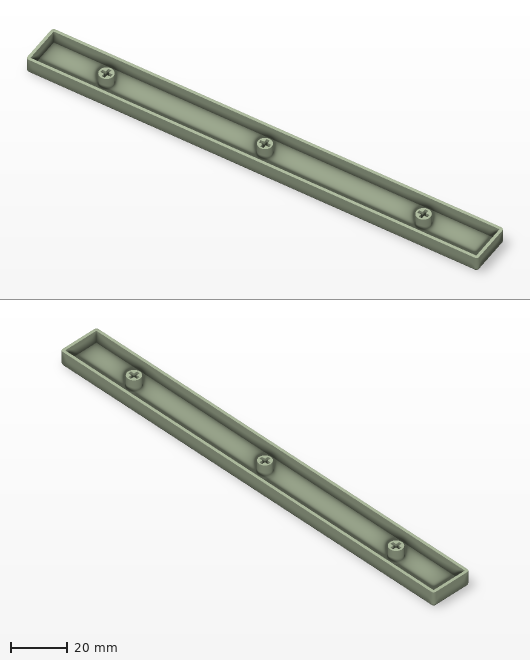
import cadquery as cq

length = 189.5
width = 18.0
height = 6.6
wall = 1.23
floor_thickness = 1.1
corner_radius = 1.2
bottom_edge_radius = 1.05

center_stem_diameter = 5.7
outer_stem_diameter = 5.9
stem_foot_diameter = 7.4
stem_pitch = 66.5
stem_height = height - floor_thickness

cross_span = 4.4
cross_slot_width = 1.3


def make_tray():
    """Open-topped tray with rounded outer corners and a rounded bottom edge."""
    body = cq.Workplane("XY").box(length, width, height, centered=(True, True, False))
    body = body.edges("|Z").fillet(corner_radius)
    body = body.faces("<Z").edges().fillet(bottom_edge_radius)
    cavity = (
        cq.Workplane("XY", origin=(0, 0, floor_thickness))
        .rect(length - 2 * wall, width - 2 * wall)
        .extrude(stem_height)
    )
    return body.cut(cavity)


def add_stem(body, x, diameter):
    """Add a stem at x, flared at its foot, and cut its cross socket."""
    stem_radius = diameter / 2
    foot_radius = stem_foot_diameter / 2
    flare_radius = foot_radius - stem_radius
    profile = (
        cq.Workplane("XZ", origin=(x, 0, floor_thickness))
        .lineTo(foot_radius, 0)
        .radiusArc((stem_radius, flare_radius), flare_radius)
        .lineTo(stem_radius, stem_height)
        .lineTo(0, stem_height)
        .close()
    )
    stem = profile.revolve(360, (0, 0, 0), (0, 1, 0))
    floor_plane = cq.Workplane("XY", origin=(x, 0, floor_thickness))
    slot_along_x = floor_plane.rect(cross_span, cross_slot_width).extrude(stem_height)
    slot_along_y = floor_plane.rect(cross_slot_width, cross_span).extrude(stem_height)
    return body.union(stem).cut(slot_along_x).cut(slot_along_y)


result = make_tray()
result = add_stem(result, 0, center_stem_diameter)
for side in (-1, 1):
    result = add_stem(result, side * stem_pitch, outer_stem_diameter)